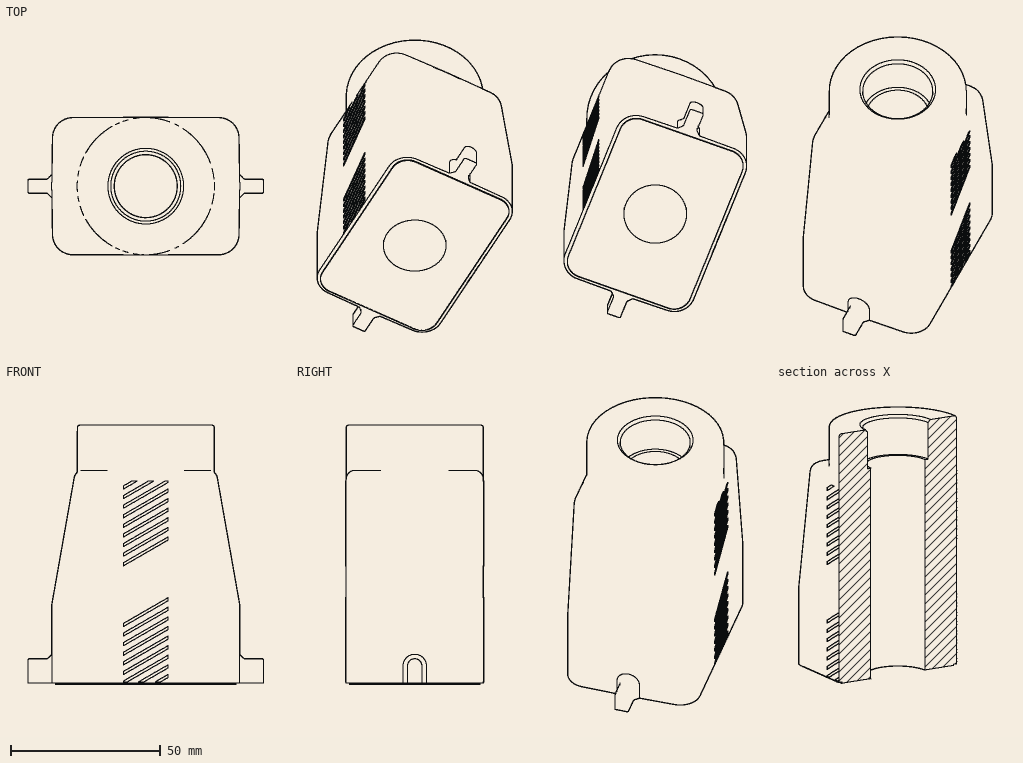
import cadquery as cq
import math

total_height = 87.0
span_over_pegs = 79.0

body_width = 63.1
body_depth = 46.1
lip_height = 0.4
lip_inset = 1.2
taper_start = 26.8
side_taper = 10.0
shoulder_height = 71.8
corner_radius = 7.0
shoulder_radius = 3.05
side_peak = 0.305

boss_diameter = 46.0
boss_edge_radius = 1.0
boss_root_radius = 0.9
bore_diameter = 23.5
bore_chamfer = 1.0
bore_floor = 73.3
through_diameter = 21.05

peg_width = 4.8
peg_top = 8.6
peg_end_radius = 0.5
peg_flare = 1.6
peg_flare_blend = 0.9
peg_block_sink = 0.1

rib_panel_width = 15.0
rib_panel_bottom = 0.9
rib_panel_top = 68.1
rib_angle = 30.0
rib_pitch = 3.2
rib_height = 1.05
rib_relief = 0.1
ribs_per_group = 9
upper_group_start = 39.8
lower_group_start = 19.4

tolerance = 0.01


def one_sided_prism():
    """Prism along Y with the hood's +X outline and a far-off flat -X side."""
    half_width = body_width / 2
    shoulder_inset = (shoulder_height - taper_start) * math.tan(math.radians(side_taper))
    return (
        cq.Workplane("XZ")
        .moveTo(-body_width, lip_height)
        .lineTo(half_width, lip_height)
        .lineTo(half_width, taper_start)
        .lineTo(half_width - shoulder_inset, shoulder_height)
        .lineTo(-body_width, shoulder_height)
        .close()
        .extrude(body_depth, both=True)
    )


def make_body():
    """Hood that widens steadily from its -Y face to its +Y face."""
    turn = math.degrees(math.atan(side_peak / (body_depth / 2)))
    right_side = one_sided_prism().rotate((0, 0, 0), (0, 0, 1), -turn)
    slab = cq.Workplane("XY").box(2 * body_width, body_depth, 2 * total_height)
    body = right_side.intersect(right_side.mirror("YZ")).intersect(slab)
    body = body.faces("<Y or >Y").edges("not #Z").fillet(corner_radius)
    return body.faces(">Z").edges().fillet(shoulder_radius)


def is_boss_root(edge):
    """True for edges on the boss wall where it meets the shoulder."""
    for fraction in (0, 0.5, 1):
        point = edge.positionAt(fraction)
        off_wall = abs(math.hypot(point.x, point.y) - boss_diameter / 2) > tolerance
        if off_wall or not taper_start < point.z < shoulder_height + tolerance:
            return False
    return True


def add_boss(body):
    """Round boss blended into the shoulder."""
    boss = (
        cq.Workplane("XY", origin=(0, 0, taper_start))
        .circle(boss_diameter / 2)
        .extrude(total_height - taper_start)
        .faces(">Z")
        .edges()
        .fillet(boss_edge_radius)
    )
    joined = body.union(boss)
    root_edges = [edge for edge in joined.edges().vals() if is_boss_root(edge)]
    return joined.newObject(root_edges).fillet(boss_root_radius)


def make_ridged_hood():
    """Mirror the -Y half so that each side has a slight ridge along its middle."""
    half_space = cq.Workplane("XY").box(
        2 * body_width, body_depth, 2 * total_height, centered=(True, False, True)
    )
    half_hood = add_boss(make_body()).cut(half_space)
    return half_hood.union(half_hood.mirror("XZ"))


def make_lip():
    """Low seating lip under the hood, inset from the body outline."""
    return (
        cq.Workplane("XY")
        .rect(body_width - 2 * lip_inset, body_depth - 2 * lip_inset)
        .extrude(2 * lip_height)
        .edges("|Z")
        .fillet(corner_radius - lip_inset)
    )


def peg_arch(x, radius, top):
    """Wire of a round-topped arch across Y and Z at the given X."""
    spring = top - radius
    return (
        cq.Workplane("YZ", origin=(x, 0, 0))
        .moveTo(-radius, lip_height)
        .lineTo(-radius, spring)
        .threePointArc((0, top), (radius, spring))
        .lineTo(radius, lip_height)
        .close()
    )


def peg_edges_at(solid, x):
    """Edges around the arched wall of the peg, lying in the plane at the given X."""
    radius = peg_width / 2
    picked = []
    for edge in solid.edges().vals():
        center = edge.Center()
        in_plane = abs(center.x - x) < tolerance
        on_peg = abs(center.y) < radius + tolerance and center.z < peg_top + tolerance
        above_bottom = center.z > lip_height + tolerance
        if in_plane and on_peg and above_bottom:
            picked.append(edge)
    return solid.newObject(picked)


def make_peg():
    """Round-topped locking peg on the +X side with a conical flare at its root."""
    radius = peg_width / 2
    wall_x = body_width / 2
    inner_x = wall_x - corner_radius
    outer_x = span_over_pegs / 2
    peg = peg_arch(inner_x, radius, peg_top).extrude(outer_x - inner_x)
    peg = peg.faces(">X").edges("not <Z").fillet(peg_end_radius)

    block_x = wall_x - peg_block_sink
    block_margin = 2 * peg_flare
    block = peg_arch(inner_x, radius + block_margin, peg_top + block_margin).extrude(block_x - inner_x)
    peg = block.union(peg)
    peg = peg_edges_at(peg, block_x).chamfer(peg_flare)
    return peg_edges_at(peg, block_x + peg_flare).fillet(peg_flare_blend)


def make_rib_group(first_rib_z, step):
    """Slanted ribs on the -Y face, trimmed to the rib panel."""
    half_panel = rib_panel_width / 2
    rise = rib_panel_width * math.tan(math.radians(rib_angle))
    panel = cq.Workplane("XY", origin=(0, -body_depth / 2, rib_panel_bottom)).box(
        rib_panel_width,
        2 * rib_relief,
        rib_panel_top - rib_panel_bottom,
        centered=(True, True, False),
    )
    ribs = cq.Workplane("XZ", origin=(0, -body_depth / 2 - rib_relief, 0))
    for index in range(ribs_per_group):
        z = first_rib_z + index * step
        ribs = ribs.polyline(
            [
                (-half_panel, z),
                (half_panel, z + rise),
                (half_panel, z + rise + rib_height),
                (-half_panel, z + rib_height),
            ]
        ).close()
    return ribs.extrude(-2 * rib_relief).intersect(panel)


def cut_bore(hood):
    """Cable bore with a chamfered mouth, stepping down to a through hole."""
    mouth_radius = bore_diameter / 2 + bore_chamfer
    bore = (
        cq.Workplane("XZ")
        .moveTo(0, 0)
        .lineTo(through_diameter / 2, 0)
        .lineTo(through_diameter / 2, bore_floor)
        .lineTo(bore_diameter / 2, bore_floor)
        .lineTo(bore_diameter / 2, total_height - bore_chamfer)
        .lineTo(mouth_radius, total_height)
        .lineTo(0, total_height)
        .close()
        .revolve(360, (0, 0, 0), (0, 1, 0))
    )
    return hood.cut(bore)


def add_pegs(hood):
    """Locking pegs on both sides, flared where they meet the body."""
    for side in (0, 180):
        hood = hood.union(make_peg().rotate((0, 0, 0), (0, 0, 1), side))
    return hood


ribs = make_rib_group(upper_group_start, rib_pitch).union(make_rib_group(lower_group_start, -rib_pitch))
hood = add_pegs(make_ridged_hood().union(make_lip()))
hood = hood.union(ribs).union(ribs.rotate((0, 0, 0), (0, 0, 1), 180))
result = cut_bore(hood)